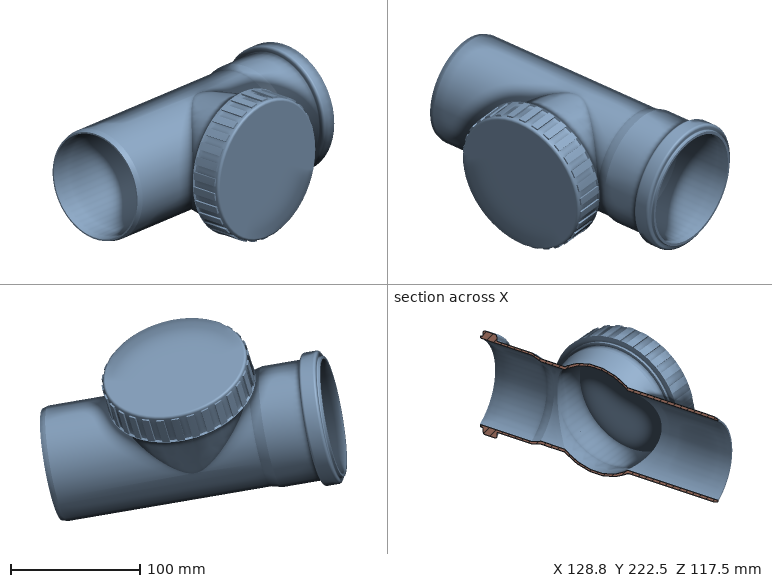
import cadquery as cq
import math


PIPE_OUTER_RADIUS = 90.5 / 2
PIPE_BORE_RADIUS = 85.5 / 2
TOTAL_LENGTH = 222.5
MOUTH_Y = 108.5
SPIGOT_END_Y = MOUTH_Y - TOTAL_LENGTH
SPIGOT_TAPER_LENGTH = 4.5
SPIGOT_TAPER_DEPTH = 1.3

SOCKET_OUTER_RADIUS = 94.8 / 2
SOCKET_BORE_RADIUS = 90.5 / 2
SOCKET_STRAIGHT_LENGTH = 48.3
SOCKET_TAPER_LENGTH = 8.5
BEAD_RADIUS = 104.5 / 2
BEAD_ROUND = 2.11
BEAD_ROOT_ROUND = 1.0
BEAD_TOP_Y = MOUTH_Y - 2.5
BEAD_WIDTH = 13.4
BEAD_BOTTOM_Y = BEAD_TOP_Y - BEAD_WIDTH

BRANCH_OUTER_RADIUS = 102.8 / 2
BRANCH_WALL = 2.5
CONE_START_RADIUS = 44.0
CONE_END_X = 43.8
COLLAR_RADIUS = 108.0 / 2
COLLAR_START_X = 49.8

CAP_START_X = 51.8
CAP_END_X = 76.5
CAP_PLATE_THICKNESS = 2.7
CAP_BODY_RADIUS = 114.0 / 2
CAP_EDGE_ROUND = 2.0
CAP_LIP_RADIUS = 117.5 / 2
CAP_LIP_WIDTH = 0.7
RIB_COUNT = 30
RIB_RADIUS = 116.5 / 2
RIB_END_GAP = 0.7
RIB_EMBED = 1.1
PLATE_INNER_X = CAP_END_X - CAP_PLATE_THICKNESS


def make_pipe_outside():
    """Solid outer shape of the spigot, pipe, socket and bead, turned about Y."""
    socket_end_y = MOUTH_Y - SOCKET_STRAIGHT_LENGTH
    root_radius = SOCKET_OUTER_RADIUS + BEAD_ROOT_ROUND
    side_radius = BEAD_RADIUS - BEAD_ROUND
    outline = (
        cq.Workplane("XY")
        .moveTo(0, SPIGOT_END_Y)
        .lineTo(PIPE_OUTER_RADIUS - SPIGOT_TAPER_DEPTH, SPIGOT_END_Y)
        .lineTo(PIPE_OUTER_RADIUS, SPIGOT_END_Y + SPIGOT_TAPER_LENGTH)
        .lineTo(PIPE_OUTER_RADIUS, socket_end_y - SOCKET_TAPER_LENGTH)
        .lineTo(SOCKET_OUTER_RADIUS, socket_end_y)
        .lineTo(SOCKET_OUTER_RADIUS, BEAD_BOTTOM_Y - BEAD_ROOT_ROUND)
        .radiusArc((root_radius, BEAD_BOTTOM_Y), BEAD_ROOT_ROUND)
        .lineTo(side_radius, BEAD_BOTTOM_Y)
        .radiusArc((BEAD_RADIUS, BEAD_BOTTOM_Y + BEAD_ROUND), -BEAD_ROUND)
        .lineTo(BEAD_RADIUS, BEAD_TOP_Y - BEAD_ROUND)
        .radiusArc((side_radius, BEAD_TOP_Y), -BEAD_ROUND)
        .lineTo(root_radius, BEAD_TOP_Y)
        .radiusArc((SOCKET_OUTER_RADIUS, BEAD_TOP_Y + BEAD_ROOT_ROUND), BEAD_ROOT_ROUND)
        .lineTo(SOCKET_OUTER_RADIUS, MOUTH_Y)
        .lineTo(0, MOUTH_Y)
        .close()
    )
    return outline.revolve(360, (0, 0, 0), (0, 1, 0))


def make_pipe_bore():
    """Space inside the pipe and its wider socket, turned about Y."""
    socket_end_y = MOUTH_Y - SOCKET_STRAIGHT_LENGTH
    outline = cq.Workplane("XY").polyline([
        (0, SPIGOT_END_Y),
        (PIPE_BORE_RADIUS, SPIGOT_END_Y),
        (PIPE_BORE_RADIUS, socket_end_y - SOCKET_TAPER_LENGTH),
        (SOCKET_BORE_RADIUS, socket_end_y),
        (SOCKET_BORE_RADIUS, MOUTH_Y),
        (0, MOUTH_Y),
    ]).close()
    return outline.revolve(360, (0, 0, 0), (0, 1, 0))


def make_branch_outside():
    """Solid cone, short cylinder and collar of the branch, turned about X."""
    outline = cq.Workplane("XY").polyline([
        (0, 0),
        (0, CONE_START_RADIUS),
        (CONE_END_X, BRANCH_OUTER_RADIUS),
        (COLLAR_START_X, BRANCH_OUTER_RADIUS),
        (COLLAR_START_X, COLLAR_RADIUS),
        (PLATE_INNER_X, COLLAR_RADIUS),
        (PLATE_INNER_X, 0),
    ]).close()
    return outline.revolve(360, (0, 0, 0), (1, 0, 0))


def make_branch_bore():
    """Space inside the branch, one wall thickness within its cone and cylinder."""
    bore_radius = BRANCH_OUTER_RADIUS - BRANCH_WALL
    outline = cq.Workplane("XY").polyline([
        (0, 0),
        (0, CONE_START_RADIUS - BRANCH_WALL),
        (CONE_END_X, bore_radius),
        (PLATE_INNER_X, bore_radius),
        (PLATE_INNER_X, 0),
    ]).close()
    return outline.revolve(360, (0, 0, 0), (1, 0, 0))


def make_fitting():
    """Pipe and branch as one hollow body."""
    outside = make_pipe_outside().union(make_branch_outside())
    return outside.cut(make_pipe_bore()).cut(make_branch_bore())


def make_cap_shell():
    """Cup with a rounded outer edge and a thin lip flaring out at its open end, turned about X."""
    lip_end_x = CAP_START_X + CAP_LIP_WIDTH
    outline = (
        cq.Workplane("XY")
        .moveTo(CAP_START_X, COLLAR_RADIUS)
        .lineTo(CAP_START_X, CAP_LIP_RADIUS)
        .lineTo(lip_end_x, CAP_BODY_RADIUS)
        .lineTo(CAP_END_X - CAP_EDGE_ROUND, CAP_BODY_RADIUS)
        .radiusArc((CAP_END_X, CAP_BODY_RADIUS - CAP_EDGE_ROUND), CAP_EDGE_ROUND)
        .lineTo(CAP_END_X, 0)
        .lineTo(PLATE_INNER_X, 0)
        .lineTo(PLATE_INNER_X, COLLAR_RADIUS)
        .close()
    )
    return outline.revolve(360, (0, 0, 0), (1, 0, 0))


def make_rib():
    """Grip rib on the +Z side of the cap, with radial flanks and its root sunk into the cap."""
    half_angle = math.pi / RIB_COUNT / 2
    root_radius = CAP_BODY_RADIUS - RIB_EMBED
    rib_end_x = CAP_END_X - CAP_EDGE_ROUND - RIB_END_GAP

    def at(radius, angle):
        return (radius * math.sin(angle), radius * math.cos(angle))

    return (
        cq.Workplane("YZ", origin=(CAP_START_X, 0, 0))
        .moveTo(*at(root_radius, -half_angle))
        .lineTo(*at(RIB_RADIUS, -half_angle))
        .threePointArc(at(RIB_RADIUS, 0), at(RIB_RADIUS, half_angle))
        .lineTo(*at(root_radius, half_angle))
        .threePointArc(at(root_radius, 0), at(root_radius, -half_angle))
        .close()
        .extrude(rib_end_x - CAP_START_X)
    )


def make_cap():
    """Cap with evenly spaced grip ribs around it."""
    cap = make_cap_shell()
    rib = make_rib()
    for index in range(RIB_COUNT):
        angle = index * 360 / RIB_COUNT
        cap = cap.union(rib.rotate((0, 0, 0), (1, 0, 0), angle))
    return cap


fitting = make_fitting()
cap = make_cap()
result = cq.Compound.makeCompound([fitting.val(), cap.val()])